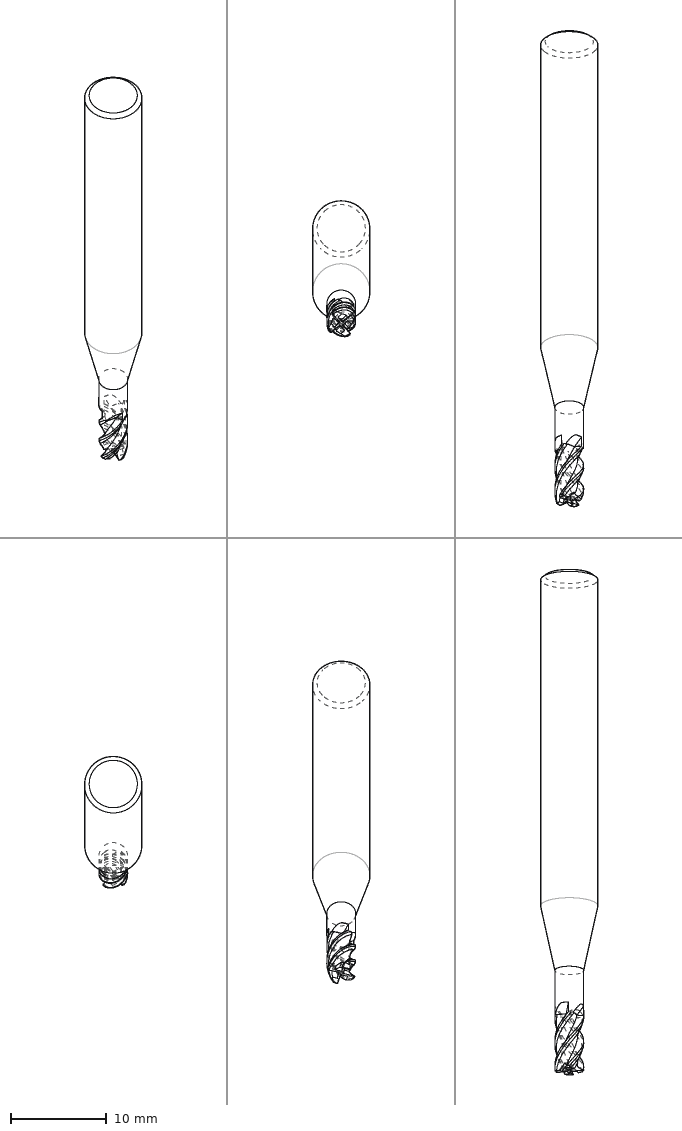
import cadquery as cq
import math

TOTAL_LENGTH = 54.0
SHANK_DIAMETER = 6.0
CUTTER_DIAMETER = 3.0
SHANK_RADIUS = SHANK_DIAMETER / 2
CUTTER_RADIUS = CUTTER_DIAMETER / 2

CUTTER_LENGTH = 11.0
TAPER_TOP = 18.05
FLUTE_LENGTH = 6.05
RUNOUT_HEIGHT = 1.1
RUNOUT_LAG = 70.0
OVERSHOOT = 3

SHANK_CHAMFER_WIDTH = 0.5
SHANK_CHAMFER_HEIGHT = 0.4

FLUTE_COUNT = 4
FLUTE_SPACING = 360 / FLUTE_COUNT
HELIX_LEAD = 11.25
RAKE_ANGLE_AT_TOP = -82.0
TWIST = 360 * FLUTE_LENGTH / HELIX_LEAD
CORE_RADIUS = 0.85
LAND_ANGLE = 12.0
HEEL_ANGLE = 26.0
HEEL_RADIUS = 1.35
CORE_LAG = 18.0
BACK_BULGE = 0.025

TIP_CHAMFER = 0.15
GASH_DEPTH = 0.65
GASH_WIDTH = 0.75
GASH_FLAT = 0.2
GASH_INNER_GAP = 0.2


def polar(radius, angle):
    """Point at a radius and an angle in degrees."""
    return (radius * math.cos(math.radians(angle)), radius * math.sin(math.radians(angle)))


def make_shank():
    """Chamfered cylindrical shank with the taper down to the neck."""
    profile = [
        (0, CUTTER_LENGTH),
        (CUTTER_RADIUS, CUTTER_LENGTH),
        (SHANK_RADIUS, TAPER_TOP),
        (SHANK_RADIUS, TOTAL_LENGTH - SHANK_CHAMFER_HEIGHT),
        (SHANK_RADIUS - SHANK_CHAMFER_WIDTH, TOTAL_LENGTH),
        (0, TOTAL_LENGTH),
    ]
    return cq.Workplane("XZ").polyline(profile).close().revolve(360, (0, 0), (0, 1))


def back_points(rake_angle):
    """Core, middle and heel points of the tooth back behind one flute."""
    core = polar(CORE_RADIUS, rake_angle - CORE_LAG)
    heel = polar(HEEL_RADIUS, rake_angle - FLUTE_SPACING + HEEL_ANGLE)
    chord = (heel[0] - core[0], heel[1] - core[1])
    chord_length = math.hypot(*chord)
    middle = (
        (core[0] + heel[0]) / 2 - chord[1] / chord_length * BACK_BULGE,
        (core[1] + heel[1]) / 2 + chord[0] / chord_length * BACK_BULGE,
    )
    return core, middle, heel


def make_fluted_length():
    """Four-tooth section twisted along the helix."""
    start = RAKE_ANGLE_AT_TOP - TWIST
    section = cq.Workplane("XY").moveTo(*polar(CUTTER_RADIUS, start))
    for index in range(FLUTE_COUNT):
        rake = start - index * FLUTE_SPACING
        next_rake = rake - FLUTE_SPACING
        core, middle, heel = back_points(rake)
        section = section.lineTo(*core).threePointArc(middle, heel)
        section = section.lineTo(*polar(CUTTER_RADIUS, next_rake + LAND_ANGLE))
        section = section.threePointArc(
            polar(CUTTER_RADIUS, next_rake + LAND_ANGLE / 2),
            polar(CUTTER_RADIUS, next_rake),
        )
    return section.close().twistExtrude(FLUTE_LENGTH, TWIST)


def make_runout():
    """Wedge that ends a flute: its floor rises outward to the neck surface."""
    core = cq.Vector(*polar(CORE_RADIUS, RAKE_ANGLE_AT_TOP - CORE_LAG), FLUTE_LENGTH)
    tip = cq.Vector(*polar(CUTTER_RADIUS, RAKE_ANGLE_AT_TOP), FLUTE_LENGTH)
    back = cq.Vector(*polar(CUTTER_RADIUS, RAKE_ANGLE_AT_TOP - RUNOUT_LAG), FLUTE_LENGTH)
    rake_step = tip - core
    back_step = back - core
    far_rake = rake_step * OVERSHOOT
    far_back = back_step * OVERSHOOT
    corners = [core, core + far_rake, core + far_rake + far_back, core + far_back]
    wire = cq.Wire.makePolygon(corners, close=True)
    path = rake_step + cq.Vector(0, 0, RUNOUT_HEIGHT)
    return cq.Workplane(cq.Solid.extrudeLinear(wire, [], path))


def make_gash():
    """Sloping end notch ahead of the tooth that lies along +X."""
    profile = [(0, 0), (0, GASH_DEPTH), (-GASH_FLAT, GASH_DEPTH), (-GASH_WIDTH, 0)]
    return (
        cq.Workplane("YZ")
        .workplane(offset=GASH_INNER_GAP)
        .polyline(profile)
        .close()
        .extrude(CUTTER_DIAMETER)
    )


def make_cutter():
    """Neck and fluted end with runouts, gashes and a chamfered tip."""
    neck = cq.Workplane("XY").workplane(offset=FLUTE_LENGTH)
    neck = neck.circle(CUTTER_RADIUS).extrude(CUTTER_LENGTH - FLUTE_LENGTH)
    for index in range(FLUTE_COUNT):
        neck = neck.cut(make_runout().rotate((0, 0, 0), (0, 0, 1), index * FLUTE_SPACING))
    cutter = neck.union(make_fluted_length())
    for index in range(FLUTE_COUNT):
        angle = RAKE_ANGLE_AT_TOP - TWIST + index * FLUTE_SPACING
        cutter = cutter.cut(make_gash().rotate((0, 0, 0), (0, 0, 1), angle))
    envelope = cq.Workplane("XY").circle(CUTTER_DIAMETER).extrude(TIP_CHAMFER)
    tip_cone = cq.Workplane(cq.Solid.makeCone(CUTTER_RADIUS - TIP_CHAMFER, CUTTER_RADIUS, TIP_CHAMFER))
    return cutter.cut(envelope.cut(tip_cone))


shank = make_shank()
cutter = make_cutter()

result = cq.Compound.makeCompound([shank.val(), *cutter.solids().vals()])